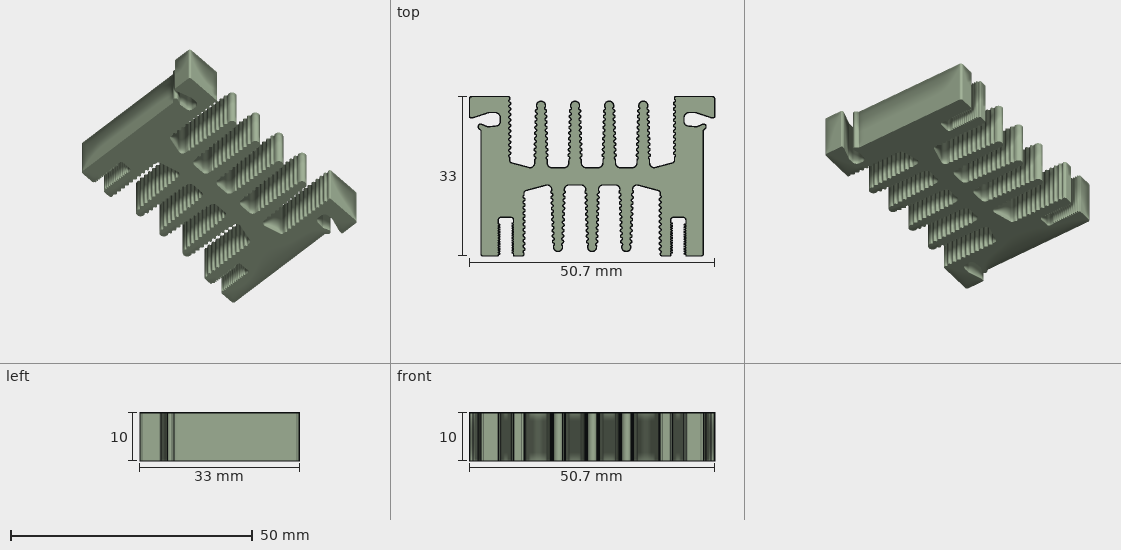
import cadquery as cq
import math

width = 50.7
length = 33.0
height = 10.0

web_thickness = 3.6
web_bottom = (length - web_thickness) / 2
web_top = (length + web_thickness) / 2

fin_pitch = 7.05
upper_fin_count = 4
lower_fin_count = 3
fin_length = 13.75
fin_tip_radius = 0.95
fin_taper = math.tan(math.radians(1.8))
fin_root_radius = 0.95
fin_overlap = 0.5
fin_tip_start = fin_length - fin_tip_radius
fin_root_half_width = fin_tip_radius + fin_tip_start * fin_taper

half_wave = 0.57
wave_amplitude = 0.2
fin_serration_gap = 1.2
upper_fin_half_waves = 19
lower_fin_half_waves = 20
wall_half_waves = 21
wall_serration_gap = 0.6

arm_outer = width / 2
wall_outer = 23.0
arm_inner = 17.0
leg_inner = 14.05
gusset_slope = math.tan(math.radians(15))
corner_radius = 0.45
foot_radius = 0.5

arm_tip_thickness = 4.4
arm_tip_flat = 0.75
arm_tip_radius = 0.25
arm_inner_radius = 0.3
clip_end = 19.0
clip_top = 29.68
clip_top_start = 21.3
clip_top_radius = 1.1
clip_end_floor = 27.0
clip_bottom_radius = 0.9
clip_dip = (21.6, 26.75)
bead_centre = (23.03, 26.77)
bead_radius = 0.55
bead_start_angle = math.radians(62)

screw_outer = 19.36
screw_inner = 16.26
screw_depth = 8.0
screw_slot_radius = 0.5
screw_mouth_radius = 0.2
thread_pitch = 0.5
thread_depth = 0.33
thread_root_flat = 0.15
thread_crest = 0.15
thread_count = 13
outer_thread_start = 0.25
inner_thread_start = outer_thread_start + thread_pitch / 2


def round_corner(path, before, corner, after, radius):
    """Draw to a corner and round it with an arc tangent to both of its sides."""
    corner_point = cq.Vector(*corner)
    back = (cq.Vector(*before) - corner_point).normalized()
    ahead = (cq.Vector(*after) - corner_point).normalized()
    half_angle = back.getAngle(ahead) / 2
    tangent_length = radius / math.tan(half_angle)
    start = corner_point + back * tangent_length
    end = corner_point + ahead * tangent_length
    bisector = (back + ahead).normalized()
    middle = corner_point + bisector * (radius / math.sin(half_angle) - radius)
    return path.lineTo(start.x, start.y).threePointArc((middle.x, middle.y), (end.x, end.y))


def serrate(path, start, end, half_waves, first_side):
    """Draw a wavy edge; first_side is 1 to bulge left of travel first, -1 for right."""
    start_point = cq.Vector(*start)
    step = (cq.Vector(*end) - start_point) / half_waves
    left = cq.Vector(-step.y, step.x).normalized()
    side = first_side
    path = path.lineTo(*start)
    for i in range(half_waves):
        middle = start_point + step * (i + 0.5) + left * (side * wave_amplitude)
        finish = start_point + step * (i + 1)
        path = path.threePointArc((middle.x, middle.y), (finish.x, finish.y))
        side = -side
    return path


def thread_edge(path, x, start_y, direction, tooth):
    """Draw flat-topped teeth along a slot wall; tooth is the signed X height of each tooth."""
    path = path.lineTo(x, start_y)
    for i in range(thread_count):
        tooth_centre = start_y + direction * (i + 0.5) * thread_pitch
        crest_reach = direction * thread_crest / 2
        root_reach = direction * (thread_pitch - thread_root_flat) / 2
        path = path.lineTo(x, tooth_centre - root_reach)
        path = path.lineTo(x + tooth, tooth_centre - crest_reach)
        path = path.lineTo(x + tooth, tooth_centre + crest_reach)
        path = path.lineTo(x, tooth_centre + root_reach)
    return path


def fin(half_waves):
    """One upright fin with its root on Y = 0, serrated sides and flared root fillets."""
    serration_end = fin_length - fin_serration_gap
    serration_start = serration_end - half_waves * half_wave
    root = fin_root_half_width
    flare = root + 2 * fin_root_radius
    low = root - serration_start * fin_taper
    high = root - serration_end * fin_taper
    first_side_up = -1 if half_waves % 2 else 1

    path = cq.Workplane("XY").moveTo(-flare, -fin_overlap).lineTo(-flare, 0)
    path = round_corner(path, (-flare, 0), (-root, 0), (-low, serration_start), fin_root_radius)
    path = serrate(path, (-low, serration_start), (-high, serration_end), half_waves, first_side_up)
    path = path.lineTo(-fin_tip_radius, fin_tip_start)
    path = path.threePointArc((0, fin_length), (fin_tip_radius, fin_tip_start))
    path = serrate(path, (high, serration_end), (low, serration_start), half_waves, -1)
    path = round_corner(path, (low, serration_start), (root, 0), (flare, 0), fin_root_radius)
    return path.lineTo(flare, -fin_overlap).close().extrude(height)


def clip_slot_edge(path):
    """Draw the clip slot from the arm tip inwards and back out to the bead on the wall."""
    arm_tip = (arm_outer, length - arm_tip_thickness)
    top_start = (clip_top_start, clip_top)
    top_corner = (clip_end, clip_top)
    bottom_corner = (clip_end, clip_end_floor)
    arm_tip_end = (arm_outer - arm_tip_flat, length - arm_tip_thickness)
    path = round_corner(path, (arm_outer, length), arm_tip, arm_tip_end, arm_tip_radius)
    path = path.lineTo(*arm_tip_end).lineTo(*top_start)
    path = round_corner(path, top_start, top_corner, bottom_corner, clip_top_radius)
    path = round_corner(path, top_corner, bottom_corner, clip_dip, clip_bottom_radius)
    path = path.lineTo(*clip_dip)

    bead_x, bead_y = bead_centre
    bead_start = (
        bead_x - bead_radius * math.cos(bead_start_angle),
        bead_y + bead_radius * math.sin(bead_start_angle),
    )
    bead_end_offset = bead_radius * math.cos(math.radians(45))
    bead_end = (bead_x + bead_end_offset, bead_y - bead_end_offset)
    underside_rise = bead_end[0] - wall_outer
    path = path.lineTo(*bead_start)
    path = path.threePointArc((bead_x + bead_radius, bead_y), bead_end)
    return path.lineTo(wall_outer, bead_end[1] - underside_rise)


def screw_slot_edge(path):
    """Draw the threaded slot from the outer part of the foot to the inner leg."""
    outer_mouth = (screw_outer, 0)
    inner_mouth = (screw_inner, 0)
    outer_top = (screw_outer, screw_depth)
    inner_top = (screw_inner, screw_depth)
    inner_thread_top = inner_thread_start + thread_count * thread_pitch
    path = round_corner(path, (wall_outer, 0), outer_mouth, outer_top, screw_mouth_radius)
    path = thread_edge(path, screw_outer, outer_thread_start, 1, -thread_depth)
    path = round_corner(path, outer_mouth, outer_top, inner_top, screw_slot_radius)
    path = round_corner(path, outer_top, inner_top, inner_mouth, screw_slot_radius)
    path = thread_edge(path, screw_inner, inner_thread_top, -1, thread_depth)
    return round_corner(path, inner_top, inner_mouth, (leg_inner, 0), screw_mouth_radius)


def side_wall():
    """The +X side: arm, clip slot, wall, foot with screw slot, and gussets down to the web."""
    root_reach = fin_root_half_width + fin_root_radius
    arm_gusset_end = ((upper_fin_count - 1) * fin_pitch / 2 + root_reach, web_top)
    leg_gusset_end = ((lower_fin_count - 1) * fin_pitch / 2 + root_reach, web_bottom)
    arm_gusset = (arm_inner, web_top + (arm_inner - arm_gusset_end[0]) * gusset_slope)
    leg_gusset = (leg_inner, web_bottom - (leg_inner - leg_gusset_end[0]) * gusset_slope)
    arm_top_inner = (arm_inner, length)
    arm_top_outer = (arm_outer, length)
    leg_foot = (leg_inner, 0)
    wall_foot = (wall_outer, 0)
    serration_length = wall_half_waves * half_wave
    arm_serration_top = length - wall_serration_gap

    path = cq.Workplane("XY").moveTo(*leg_gusset_end).lineTo(leg_gusset_end[0], web_top)
    path = path.lineTo(*arm_gusset_end)
    path = round_corner(path, arm_gusset_end, arm_gusset, arm_top_inner, corner_radius)
    path = serrate(
        path,
        (arm_inner, arm_serration_top - serration_length),
        (arm_inner, arm_serration_top),
        wall_half_waves,
        -1,
    )
    path = round_corner(path, arm_gusset, arm_top_inner, arm_top_outer, arm_inner_radius)
    path = round_corner(path, arm_top_inner, arm_top_outer, (arm_outer, 0), corner_radius)
    path = clip_slot_edge(path)
    path = round_corner(path, (wall_outer, length), wall_foot, leg_foot, foot_radius)
    path = screw_slot_edge(path)
    path = round_corner(path, wall_foot, leg_foot, leg_gusset, foot_radius)
    path = serrate(
        path,
        (leg_inner, wall_serration_gap),
        (leg_inner, wall_serration_gap + serration_length),
        wall_half_waves,
        -1,
    )
    path = round_corner(path, leg_foot, leg_gusset, leg_gusset_end, corner_radius)
    return path.close().extrude(height)


def web():
    """The flat web between the two side walls."""
    return (
        cq.Workplane("XY")
        .rect(2 * leg_inner, web_thickness)
        .extrude(height)
        .translate((0, length / 2, 0))
    )


def fin_row(single_fin, count, y):
    """Copies of a fin, spaced evenly about the centre plane."""
    first_x = -(count - 1) * fin_pitch / 2
    return [single_fin.translate((first_x + i * fin_pitch, y, 0)) for i in range(count)]


upper_fin = fin(upper_fin_half_waves)
lower_fin = fin(lower_fin_half_waves).mirror("XZ")
right_wall = side_wall()

result = web().union(right_wall).union(right_wall.mirror("YZ"))
for placed_fin in fin_row(upper_fin, upper_fin_count, web_top):
    result = result.union(placed_fin)
for placed_fin in fin_row(lower_fin, lower_fin_count, web_bottom):
    result = result.union(placed_fin)
result = result.clean()